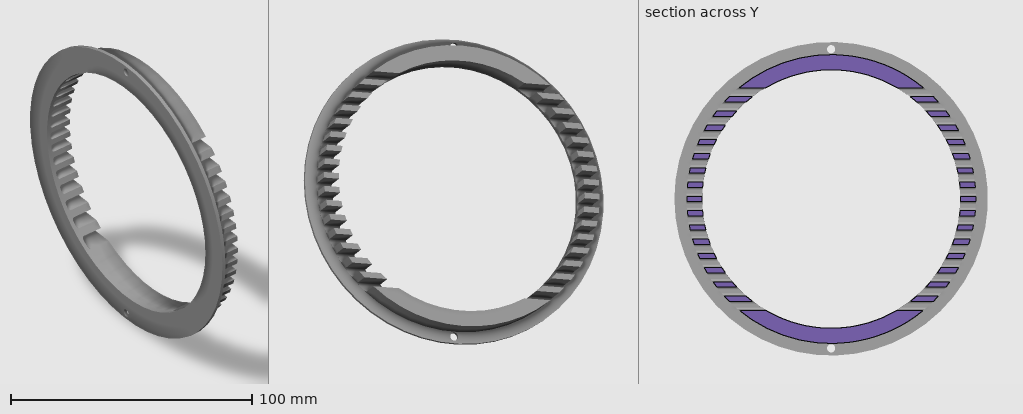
import cadquery as cq

flange_diameter = 130.0
bore_diameter = 107.0
flange_thickness = 1.5

total_depth = 12.0
collar_diameter = 120.0
collar_height = total_depth - flange_thickness

slot_count = 16
slot_width = 3.5
slotted_height = 92.0
slot_pitch = (slotted_height - slot_width) / (slot_count - 1)
slot_floor_gap = 0.3
slot_corner_radius = 1.0

hole_diameter = 3.4
hole_center_radius = 62.0

front_y = -total_depth / 2
collar_start_y = front_y + flange_thickness
back_y = total_depth / 2


def ring(outer_diameter, inner_diameter, start_y, length):
    """Plain ring about the Y axis, growing toward +Y from start_y."""
    return (
        cq.Workplane("XZ", origin=(0, start_y, 0))
        .circle(outer_diameter / 2)
        .circle(inner_diameter / 2)
        .extrude(-length)
    )


def slot_cutter(center_z):
    """Bar along X that is open at the back and has a round-cornered floor."""
    floor_y = collar_start_y + slot_floor_gap
    depth = back_y - floor_y
    return (
        cq.Workplane("XY")
        .box(flange_diameter, depth, slot_width)
        .edges("|X and <Y")
        .fillet(slot_corner_radius)
        .translate((0, floor_y + depth / 2, center_z))
    )


flange = ring(flange_diameter, bore_diameter, front_y, flange_thickness)
collar = ring(collar_diameter, bore_diameter, collar_start_y, collar_height)

first_slot_z = -(slotted_height - slot_width) / 2
for index in range(slot_count):
    collar = collar.cut(slot_cutter(first_slot_z + index * slot_pitch))

screw_holes = (
    cq.Workplane("XZ", origin=(0, front_y, 0))
    .pushPoints([(0, hole_center_radius), (0, -hole_center_radius)])
    .circle(hole_diameter / 2)
    .extrude(-flange_thickness)
)

result = flange.union(collar).cut(screw_holes)